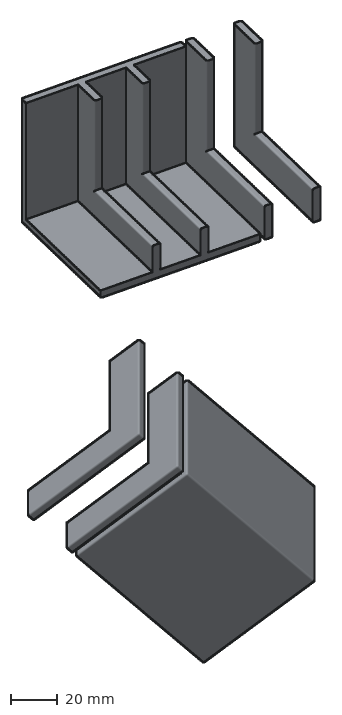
import cadquery as cq

leg_length = 65.0
thickness = 4.0
arm_width = 17.8
edge_radius = 0.9

overall_length = 110
bracket_length = 80.0
rib_spacing = 24.0
near_plate_gap = 2.0

bracket_middle = bracket_length / 2
rib_starts = [bracket_middle + side * rib_spacing / 2 - thickness / 2 for side in (-1, 1)]
plate_starts = [bracket_length + near_plate_gap, overall_length - thickness]


def l_prism(width, start, length):
    """L profile with arms of the given width along X and Z, extruded along +Y from start."""
    return (
        cq.Workplane("XZ", origin=(0, start, 0))
        .polyline([
            (0, 0),
            (leg_length, 0),
            (leg_length, width),
            (width, width),
            (width, leg_length),
            (0, leg_length),
        ])
        .close()
        .extrude(-length)
    )


def round_outside(body):
    """Round the edges of the outer faces X = 0 and Z = 0, leaving the arm ends sharp."""
    upright = body.faces("<X").edges("not >Z")
    floor = body.faces("<Z").edges("|X")
    return body.newObject(upright.vals() + floor.vals()).fillet(edge_radius)


def round_inside(body):
    """Round both long edges of the two inner faces of a rib or plate."""
    inner = cq.selectors.BoxSelector(
        (arm_width / 2, -thickness, arm_width / 2),
        (leg_length - thickness, overall_length + thickness, leg_length - thickness),
    )
    return body.edges("|X or |Z").edges(inner).fillet(edge_radius)


def make_bracket():
    """L-shaped bracket with two L-shaped ribs standing in its corner."""
    bracket = round_outside(l_prism(thickness, 0, bracket_length))
    for start in rib_starts:
        rib = round_inside(l_prism(arm_width, start, thickness))
        inside = (
            cq.Workplane("XY")
            .box(leg_length, bracket_length, leg_length, centered=False)
            .translate((thickness, 0, thickness))
        )
        bracket = bracket.union(rib.intersect(inside))
    return bracket


def make_plate(start):
    """Loose L-shaped plate with rounded outer and inner edges."""
    return round_inside(round_outside(l_prism(arm_width, start, thickness)))


bracket = make_bracket()
plates = [make_plate(start) for start in plate_starts]

result = cq.Compound.makeCompound([bracket.val(), *[plate.val() for plate in plates]])